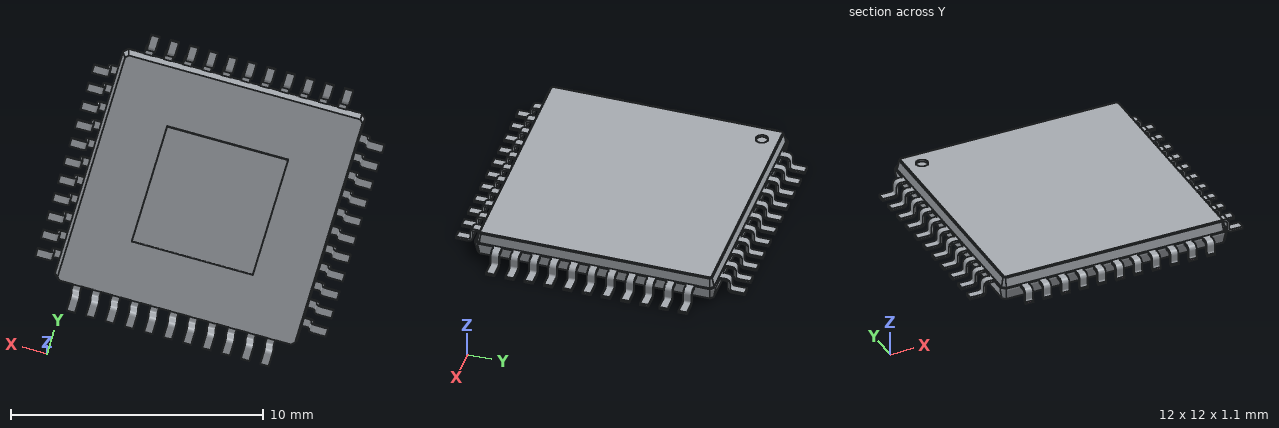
import cadquery as cq
import math

package_height = 1.1
lead_span = 12.0

body_width = 10.0
standoff = 0.1
corner_cut = 0.18
draft_angle = 12.0
upper_step = 0.075
bevel_width = 0.04
bevel_height = 0.05

pad_width = 5.0

leads_per_side = 11
lead_pitch = 0.8
lead_width = 0.35
lead_thickness = 0.1
bend_inner_radius = 0.1
bend_outer_radius = bend_inner_radius + lead_thickness
shank_outer_face = 5.4
lead_root_depth = 0.3

marker_diameter = 0.5
marker_depth = 0.1
marker_offset = 4.13

body_middle = (standoff + package_height) / 2
band_bottom = body_middle - lead_thickness / 2
band_top = body_middle + lead_thickness / 2
bevel_bottom = package_height - bevel_height


def chamfered_square(inset, level):
    """Parting outline moved inwards by inset, placed at the given height."""
    half = body_width / 2 - inset
    cut = corner_cut - inset * (2 - math.sqrt(2))
    straight = half - cut
    return cq.Workplane("XY").workplane(offset=level).polyline([
        (half, -straight),
        (half, straight),
        (straight, half),
        (-straight, half),
        (-half, straight),
        (-half, -straight),
        (-straight, -half),
        (straight, -half),
    ]).close()


def frustum(lower_inset, lower_level, upper_inset, upper_level):
    """Solid between two inset copies of the parting outline."""
    lower = chamfered_square(lower_inset, lower_level).wires().val()
    upper = chamfered_square(upper_inset, upper_level).wires().val()
    return cq.Workplane(cq.Solid.makeLoft([lower, upper], True))


def make_body():
    """Drafted lower half, straight parting band, stepped upper half and top bevel."""
    draft_slope = math.tan(math.radians(draft_angle))
    bottom_inset = (band_bottom - standoff) * draft_slope
    shoulder_inset = upper_step + (bevel_bottom - band_top) * draft_slope

    lower_half = frustum(bottom_inset, standoff, 0, band_bottom)
    band = chamfered_square(0, band_bottom).extrude(lead_thickness)
    upper_half = frustum(upper_step, band_top, shoulder_inset, bevel_bottom)
    bevel = frustum(shoulder_inset, bevel_bottom, shoulder_inset + bevel_width, package_height)
    return lower_half.union(band).union(upper_half).union(bevel)


def make_pad():
    """Square pad from the seating plane up to the body underside."""
    return cq.Workplane("XY").rect(pad_width, pad_width).extrude(standoff)


def make_lead():
    """Gull-wing lead on the +X side, centred on the X axis."""
    root = body_width / 2 - lead_root_depth
    tip = lead_span / 2
    shank_inner_face = shank_outer_face - lead_thickness
    upper_bend_x = shank_outer_face - bend_outer_radius
    upper_bend_z = band_top - bend_outer_radius
    lower_bend_x = shank_inner_face + bend_outer_radius
    lower_bend_z = bend_outer_radius
    diagonal = math.sqrt(0.5)
    inner_reach = bend_inner_radius * diagonal
    outer_reach = bend_outer_radius * diagonal

    profile = (
        cq.Workplane("XZ")
        .moveTo(root, band_top)
        .lineTo(upper_bend_x, band_top)
        .threePointArc(
            (upper_bend_x + outer_reach, upper_bend_z + outer_reach),
            (shank_outer_face, upper_bend_z),
        )
        .lineTo(shank_outer_face, lower_bend_z)
        .threePointArc(
            (lower_bend_x - inner_reach, lower_bend_z - inner_reach),
            (lower_bend_x, lead_thickness),
        )
        .lineTo(tip, lead_thickness)
        .lineTo(tip, 0)
        .lineTo(lower_bend_x, 0)
        .threePointArc(
            (lower_bend_x - outer_reach, lower_bend_z - outer_reach),
            (shank_inner_face, lower_bend_z),
        )
        .lineTo(shank_inner_face, upper_bend_z)
        .threePointArc(
            (upper_bend_x + inner_reach, upper_bend_z + inner_reach),
            (upper_bend_x, band_bottom),
        )
        .lineTo(root, band_bottom)
        .close()
    )
    return profile.extrude(lead_width / 2, both=True)


def make_leads():
    """One evenly pitched row of leads on each of the four sides."""
    lead = make_lead()
    first_position = -lead_pitch * (leads_per_side - 1) / 2
    leads = []
    for side_angle in (0, 90, 180, 270):
        for index in range(leads_per_side):
            placed = lead.translate((0, first_position + index * lead_pitch, 0))
            leads.append(placed.rotate((0, 0, 0), (0, 0, 1), side_angle).val())
    return leads


def make_marker():
    """Round recess in the top face beside pin 1."""
    return (
        cq.Workplane("XY")
        .workplane(offset=package_height - marker_depth)
        .center(-marker_offset, marker_offset)
        .circle(marker_diameter / 2)
        .extrude(marker_depth)
    )


solid_body = make_body().union(make_pad()).cut(make_marker())
result = cq.Workplane(solid_body.val().fuse(*make_leads()).clean())